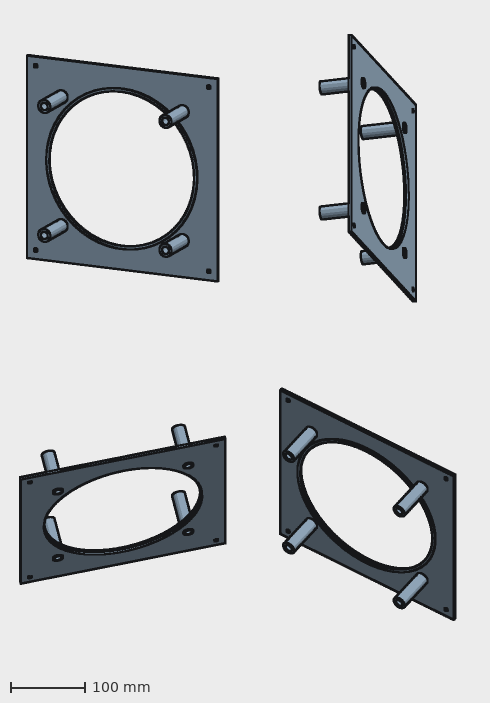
import cadquery as cq

plate_side = 282.5
plate_thickness = 4.0
plate_front = -plate_thickness

plate_bore_diameter = 219.0
opening_diameter = 215.0
lip_diameter = 224.0
lip_height = 2.0

corner_hole_diameter = 5.0
corner_hole_pitch = 257.0

standoff_pitch = 180.0
standoff_diameter = 18.0
bore_diameter = 10.2
spigot_diameter = 13.8
spigot_overhang = 1.0
overall_depth = 60.0
standoff_length = overall_depth - spigot_overhang - plate_thickness


def square_corners(pitch):
    """(x, z) places at the corners of a centred square."""
    half = pitch / 2
    return [(x, z) for x in (-half, half) for z in (-half, half)]


def cylinder(diameter, front, length, place=(0, 0)):
    """Cylinder running toward +Y from the plane Y = front."""
    x, z = place
    start = cq.Vector(x, front, z)
    axis = cq.Vector(0, 1, 0)
    return cq.Workplane(cq.Solid.makeCylinder(diameter / 2, length, start, axis))


def make_lip():
    """Flat ring on the front face, reaching inward past the plate bore."""
    front = plate_front - lip_height
    ring = cylinder(lip_diameter, front, lip_height)
    return ring.cut(cylinder(opening_diameter, front, lip_height))


def make_plate():
    plate = cq.Workplane("XY").box(plate_side, plate_thickness, plate_side)
    plate = plate.translate((0, -plate_thickness / 2, 0))
    plate = plate.cut(cylinder(plate_bore_diameter, plate_front, plate_thickness))
    plate = plate.union(make_lip())
    for place in square_corners(corner_hole_pitch):
        plate = plate.cut(cylinder(corner_hole_diameter, plate_front, plate_thickness, place))
    for place in square_corners(standoff_pitch):
        plate = plate.cut(cylinder(spigot_diameter, plate_front, plate_thickness, place))
    return plate


def make_standoff(place):
    front = plate_front - standoff_length
    tube = cylinder(standoff_diameter, front, standoff_length, place)
    spigot = cylinder(spigot_diameter, plate_front, plate_thickness + spigot_overhang, place)
    bore = cylinder(bore_diameter, front, overall_depth, place)
    return tube.union(spigot).cut(bore)


plate = make_plate()
standoffs = [make_standoff(place) for place in square_corners(standoff_pitch)]

result = cq.Compound.makeCompound([plate.val(), *[standoff.val() for standoff in standoffs]])